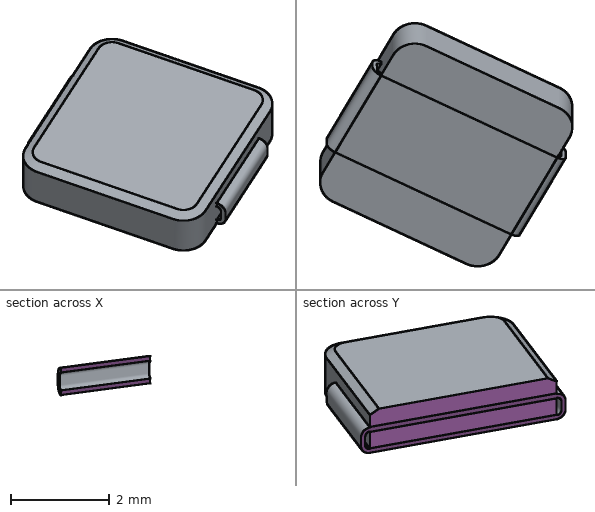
import cadquery as cq

HOUSING_SIDE = 4.06
HOUSING_HEIGHT = 1.0
CORNER_RADIUS = 0.5
BEVEL_INSET = 0.195
BEVEL_DROP = 0.11

BAND_LENGTH = 4.45
BAND_HEIGHT = 0.6
BAND_WIDTH = 2.002
BAND_THICKNESS = 0.102
BAND_OUTER_RADIUS = 0.2
BAND_INNER_RADIUS = BAND_OUTER_RADIUS - BAND_THICKNESS


def rounded_bar(length, height, radius, bottom):
    """Bar lying along X, as wide as the band, with its four long Y edges rounded."""
    return (
        cq.Workplane("XY")
        .box(length, BAND_WIDTH, height, centered=(True, True, False))
        .edges("|Y")
        .fillet(radius)
        .translate((0, 0, bottom))
    )


def make_terminal_band():
    """Closed loop of strip whose underside is flush with the housing underside."""
    outside = rounded_bar(BAND_LENGTH, BAND_HEIGHT, BAND_OUTER_RADIUS, 0)
    opening = rounded_bar(
        BAND_LENGTH - 2 * BAND_THICKNESS,
        BAND_HEIGHT - 2 * BAND_THICKNESS,
        BAND_INNER_RADIUS,
        BAND_THICKNESS,
    )
    return outside.cut(opening).solids()


def make_housing(band):
    """Bevelled block with a matching channel where the band passes through it."""
    block = (
        cq.Workplane("XY")
        .box(HOUSING_SIDE, HOUSING_SIDE, HOUSING_HEIGHT, centered=(True, True, False))
        .edges("|Z")
        .fillet(CORNER_RADIUS)
    )
    bevelled = block.faces(">Z").chamfer(BEVEL_DROP, BEVEL_INSET)
    return bevelled.cut(band).solids()


terminal_band = make_terminal_band()
housing = make_housing(terminal_band)

result = cq.Compound.makeCompound([housing.val(), terminal_band.val()])